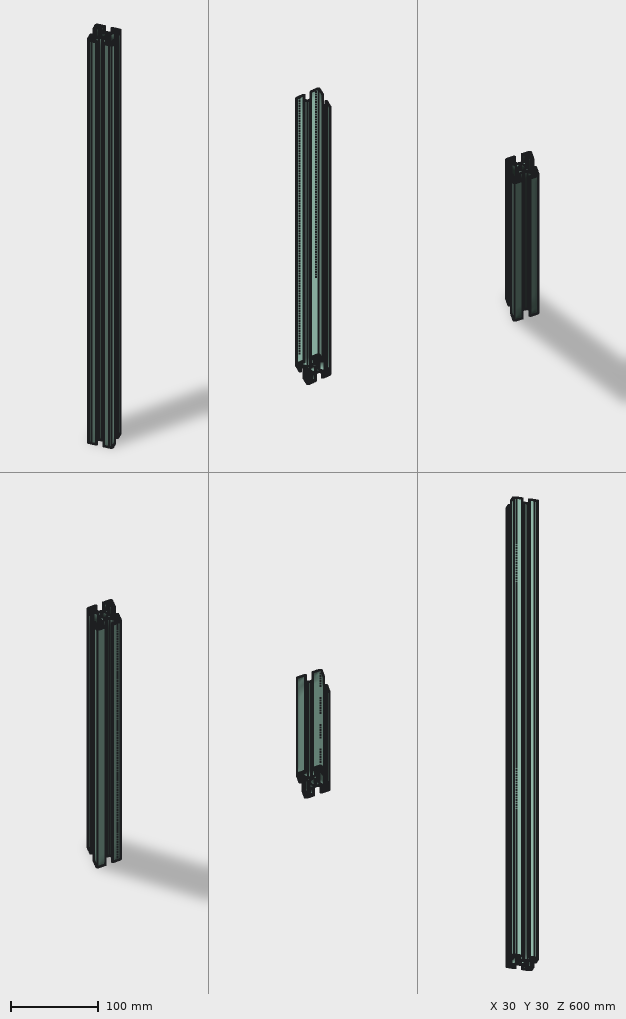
import cadquery as cq

SIDE = 30.0
LENGTH = 600.0
CORNER_RADIUS = 2.0

SLOT_OPENING = 8.1
SLOT_WIDTH = 16.7
LIP_THICKNESS = 2.0
LIP_CHAMFER = 0.71
INNER_LIP_CHAMFER = 0.76

CORE_SIDE = 12.0
GROOVE_WIDTH = 1.8
GROOVE_DEPTH = 1.3
BORE_DIAMETER = 7.35

WEB_THICKNESS = 2.5
HOLLOW_SIDE = 3.0
CORNER_WALL = 1.4

HALF_SIDE = SIDE / 2
SLOT_HALF = SLOT_WIDTH / 2
OPENING_HALF = SLOT_OPENING / 2
CORE_HALF = CORE_SIDE / 2
QUARTER_TURNS = (0, 90, 180, 270)


def bar(points):
    """Full-length prism with the given polygon as its cross-section."""
    return cq.Workplane("XY").polyline(points).close().extrude(LENGTH)


def turned(shape, angle):
    """The shape turned about the Z axis."""
    return shape.rotate((0, 0, 0), (0, 0, 1), angle)


def corner():
    """Hollow +X+Y corner column with the two slot lips that grow from it."""
    lip_inner = HALF_SIDE - LIP_THICKNESS
    chamfer_start = HALF_SIDE - LIP_CHAMFER
    inner_chamfer_start = lip_inner + INNER_LIP_CHAMFER
    inner_mouth_half = OPENING_HALF + INNER_LIP_CHAMFER
    mouth_half = OPENING_HALF + LIP_CHAMFER
    column = bar(
        [
            (SLOT_HALF, SLOT_HALF),
            (lip_inner, SLOT_HALF),
            (lip_inner, inner_mouth_half),
            (inner_chamfer_start, OPENING_HALF),
            (chamfer_start, OPENING_HALF),
            (HALF_SIDE, mouth_half),
            (HALF_SIDE, HALF_SIDE),
            (mouth_half, HALF_SIDE),
            (OPENING_HALF, chamfer_start),
            (OPENING_HALF, inner_chamfer_start),
            (inner_mouth_half, lip_inner),
            (SLOT_HALF, lip_inner),
        ]
    )
    outer_edge = cq.selectors.NearestToPointSelector((HALF_SIDE, HALF_SIDE, LENGTH / 2))
    column = column.edges("|Z").edges(outer_edge).fillet(CORNER_RADIUS)
    hollow_center = HALF_SIDE - CORNER_WALL - HOLLOW_SIDE / 2
    hollow = cq.Workplane("XY").center(hollow_center, hollow_center).rect(HOLLOW_SIDE, HOLLOW_SIDE)
    return column.cut(hollow.extrude(LENGTH))


def web():
    """Diagonal web from the core to the inner edge of the +X+Y corner column."""
    offset = WEB_THICKNESS / 2 ** 0.5
    return bar(
        [
            (0, 0),
            (offset, 0),
            (SLOT_HALF + offset, SLOT_HALF),
            (SLOT_HALF, SLOT_HALF),
            (SLOT_HALF, SLOT_HALF + offset),
            (0, offset),
        ]
    )


def floor_groove():
    """V-groove along the middle of the +X slot floor."""
    return bar(
        [
            (CORE_HALF, -GROOVE_WIDTH / 2),
            (CORE_HALF, GROOVE_WIDTH / 2),
            (CORE_HALF - GROOVE_DEPTH, 0),
        ]
    )


def extrusion():
    """Core, four corner quarters, slot floor grooves and the central bore."""
    profile = cq.Workplane("XY").rect(CORE_SIDE, CORE_SIDE).extrude(LENGTH)
    quarter = corner().union(web())
    for angle in QUARTER_TURNS:
        profile = profile.union(turned(quarter, angle))
    for angle in QUARTER_TURNS:
        profile = profile.cut(turned(floor_groove(), angle))
    bore = cq.Workplane("XY").circle(BORE_DIAMETER / 2).extrude(LENGTH)
    return profile.cut(bore)


result = extrusion()